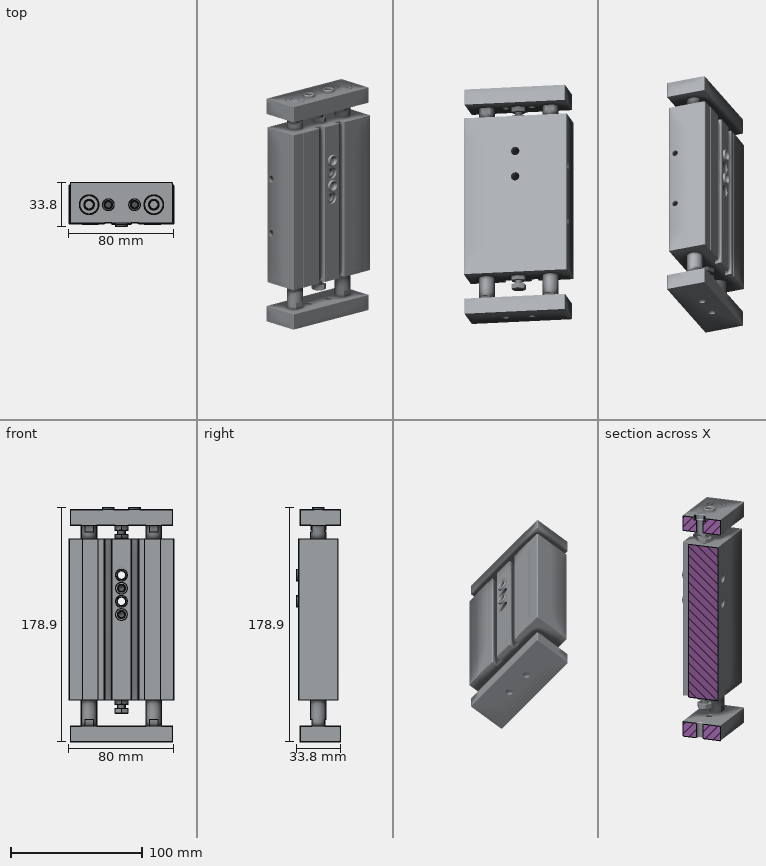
import cadquery as cq
import math


PLATE_WIDTH = 78.0
PLATE_DEPTH = 31.0
PLATE_THICKNESS = 12.0
PLATE_SHIFT_Y = 1.52
PLATE_EDGE_RADIUS = 0.7
ROD_DIAMETER = 12.0
ROD_X = 24.7
ROD_FLAT_WIDTH = 10.0
ROD_FLAT_HEIGHT = 5.0
RING_OUTER_DIAMETER = 15.0
RING_INNER_DIAMETER = 14.0
RING_DEPTH = 0.5
ROD_END_DIAMETER = 8.0
ROD_END_TIP_DIAMETER = 6.5
ROD_END_CHAMFER_HEIGHT = 0.7

HEX_SIDES = 6
HEX_WIDTH = 10.0
HEX_END_DIAMETER = 9.5
HEX_CHAMFER_ANGLE = 30
STUD_DIAMETER = 6.0
STUD_DEPTH = 10.7
NUT_HEIGHT = 3.4
HEAD_HEIGHT = 4.0
STUD_GAP = 2.9
SCREW_REACH = NUT_HEIGHT + STUD_GAP + HEAD_HEIGHT

LOWER_GAP = 19.8
HOUSING_HEIGHT = 123.0
HOUSING_WIDTH = 80.0
HOUSING_BACK_Y = 15.0
PAD_FRONT_Y = -15.0
PAD_RAISE = 0.27
BODY_FRONT_Y = PAD_FRONT_Y + PAD_RAISE
SIDE_PAD_INNER_X = 17.7
SIDE_PAD_OUTER_X = 29.7
HOUSING_EDGE_RADIUS = 0.9
SLOT_X = 10.2
SLOT_WIDTH = 5.0
SLOT_CAVITY_WIDTH = 6.0
SLOT_LIP = 2.1
SLOT_DEPTH = 5.0
SLOT_CHAMFER = 0.5
PORT_DIAMETER = 5.0
PORT_CORE_DIAMETER = 4.1
PORT_DEPTH = 5.4
PORT_Y = 10.0
PORT_OFFSET_Z = 21.6

SLEEVE_DIAMETER = 9.0
SLEEVE_BORE = 6.5
SLEEVE_PROTRUSION = 1.8
SEAT_DEPTH = 2.1
THREAD_DIAMETER = 6.0
THREAD_CORE_DIAMETER = 5.0
THREAD_DEPTH = 9.0
DRILL_POINT_ANGLE = 118
HOLE_PITCH = 10.0
TOP_HOLE_X = HOLE_PITCH
FIRST_HOLE_DROP = 27.7
FRONT_HOLE_COUNT = 4

HOUSING_BOTTOM_Z = PLATE_THICKNESS + LOWER_GAP
HOUSING_TOP_Z = HOUSING_BOTTOM_Z + HOUSING_HEIGHT
HOUSING_MIDDLE_Z = (HOUSING_BOTTOM_Z + HOUSING_TOP_Z) / 2
TOP_PLATE_Z = HOUSING_TOP_Z + SCREW_REACH
SLIDE_TOP_Z = TOP_PLATE_Z + PLATE_THICKNESS
FRONT_HOLES_Z = [HOUSING_TOP_Z - FIRST_HOLE_DROP - i * HOLE_PITCH for i in range(FRONT_HOLE_COUNT)]
SLEEVE_HOLES_Z = FRONT_HOLES_Z[0::2]
THREAD_HOLES_Z = FRONT_HOLES_Z[1::2]
FRONT = cq.Vector(0, -1, 0)
UP = cq.Vector(0, 0, 1)


def cylinder(diameter, length, start, direction):
    """A cylinder that begins at a point and runs along a direction."""
    return cq.Workplane(cq.Solid.makeCylinder(diameter / 2, length, start, direction))


def cone(start_diameter, end_diameter, length, start, direction):
    """A cone whose diameter changes from start to end along a direction."""
    return cq.Workplane(
        cq.Solid.makeCone(start_diameter / 2, end_diameter / 2, length, start, direction)
    )


def drilled_hole(diameter, depth, start, direction):
    """A blind hole with a conical drill point."""
    point_length = diameter / 2 / math.tan(math.radians(DRILL_POINT_ANGLE / 2))
    bore = cylinder(diameter, depth, start, direction)
    return bore.union(cone(diameter, 0, point_length, start + direction * depth, direction))


def countersink(wide_diameter, narrow_diameter, start, direction):
    """The 45 degree chamfer at the mouth of a hole."""
    depth = (wide_diameter - narrow_diameter) / 2
    return cone(wide_diameter, narrow_diameter, depth, start, direction)


def box_between(x0, x1, y0, y1, z0, z1):
    """A box given by its limits along each axis."""
    return cq.Workplane().box(x1 - x0, y1 - y0, z1 - z0, centered=False).translate((x0, y0, z0))


def plate(bottom_z):
    """A plate with rounded upright edges and two threaded through holes."""
    body = (
        cq.Workplane()
        .box(PLATE_WIDTH, PLATE_DEPTH, PLATE_THICKNESS, centered=(True, True, False))
        .edges("|Z")
        .fillet(PLATE_EDGE_RADIUS)
        .translate((0, PLATE_SHIFT_Y, bottom_z))
    )
    top_z = bottom_z + PLATE_THICKNESS
    for x in (-TOP_HOLE_X, TOP_HOLE_X):
        body = body.cut(cylinder(THREAD_CORE_DIAMETER, PLATE_THICKNESS, cq.Vector(x, 0, bottom_z), UP))
        body = body.cut(
            countersink(THREAD_DIAMETER, THREAD_CORE_DIAMETER, cq.Vector(x, 0, top_z), -UP)
        )
    return body


def rod(x):
    """A rod between the plates, with a pair of wrench flats at each end."""
    length = TOP_PLATE_Z - PLATE_THICKNESS
    body = cylinder(ROD_DIAMETER, length, cq.Vector(x, 0, PLATE_THICKNESS), UP)
    for flat_z in (PLATE_THICKNESS, TOP_PLATE_Z - ROD_FLAT_HEIGHT):
        end = cylinder(ROD_DIAMETER, ROD_FLAT_HEIGHT, cq.Vector(x, 0, flat_z), UP)
        half_flat = ROD_FLAT_WIDTH / 2
        kept = box_between(
            x - ROD_DIAMETER, x + ROD_DIAMETER, -half_flat, half_flat, flat_z, flat_z + ROD_FLAT_HEIGHT
        )
        body = body.cut(end.cut(kept))
    return body


def rod_end_grooves(x):
    """The grooves in the top plate above a rod: a narrow ring and a rod end with a chamfered rim."""
    top = cq.Vector(x, 0, SLIDE_TOP_Z)
    ring = cylinder(RING_OUTER_DIAMETER, RING_DEPTH, top, -UP)
    ring = ring.cut(cylinder(RING_INNER_DIAMETER, RING_DEPTH, top, -UP))
    rim = cylinder(ROD_END_DIAMETER, ROD_END_CHAMFER_HEIGHT, top, -UP)
    rim = rim.cut(cone(ROD_END_TIP_DIAMETER, ROD_END_DIAMETER, ROD_END_CHAMFER_HEIGHT, top, -UP))
    return ring.union(rim)


def make_slide():
    """Both plates and both rods as one body, with sleeve seats in the top plate."""
    top_plate = plate(TOP_PLATE_Z)
    for x in (-TOP_HOLE_X, TOP_HOLE_X):
        seat = cylinder(SLEEVE_DIAMETER, SEAT_DEPTH, cq.Vector(x, 0, SLIDE_TOP_Z), -UP)
        seat_floor = cq.Vector(x, 0, SLIDE_TOP_Z - SEAT_DEPTH)
        top_plate = top_plate.cut(seat)
        top_plate = top_plate.cut(
            countersink(THREAD_DIAMETER, THREAD_CORE_DIAMETER, seat_floor, -UP)
        )
    body = plate(0).union(top_plate)
    for x in (-ROD_X, ROD_X):
        body = body.union(rod(x)).cut(rod_end_grooves(x))
    return body


def housing_blank():
    """The extruded body with rounded upright edges."""
    half_width = HOUSING_WIDTH / 2
    body = box_between(
        -half_width, half_width, BODY_FRONT_Y, HOUSING_BACK_Y, HOUSING_BOTTOM_Z, HOUSING_TOP_Z
    )
    return body.edges("|Z").fillet(HOUSING_EDGE_RADIUS)


def front_pads():
    """The raised strips on the front: one in the middle and one on each side."""
    strips = [
        (-SIDE_PAD_OUTER_X, -SIDE_PAD_INNER_X),
        (-SLOT_X, SLOT_X),
        (SIDE_PAD_INNER_X, SIDE_PAD_OUTER_X),
    ]
    pads = cq.Workplane()
    for x0, x1 in strips:
        pads = pads.add(
            box_between(x0, x1, PAD_FRONT_Y, BODY_FRONT_Y, HOUSING_BOTTOM_Z, HOUSING_TOP_Z)
        )
    return pads.combine()


def slot(x):
    """A T-slot along the whole front, with a chamfered mouth."""
    mouth = SLOT_WIDTH / 2
    cavity = SLOT_CAVITY_WIDTH / 2
    wide_mouth = mouth + SLOT_CHAMFER
    right_side = [
        (wide_mouth, PAD_FRONT_Y),
        (wide_mouth, BODY_FRONT_Y),
        (mouth, BODY_FRONT_Y + SLOT_CHAMFER),
        (mouth, BODY_FRONT_Y + SLOT_LIP),
        (cavity, BODY_FRONT_Y + SLOT_LIP),
        (cavity, BODY_FRONT_Y + SLOT_DEPTH),
    ]
    left_side = [(-px, py) for px, py in reversed(right_side)]
    outline = cq.Workplane("XY", origin=(x, 0, HOUSING_BOTTOM_Z)).polyline(right_side + left_side)
    return outline.close().extrude(HOUSING_HEIGHT)


def front_hole(z, threaded):
    """A sleeve seat with either a blind threaded hole or a through hole behind it."""
    face = cq.Vector(0, PAD_FRONT_Y, z)
    floor = face - FRONT * SEAT_DEPTH
    seat = cylinder(SLEEVE_DIAMETER, SEAT_DEPTH, face, -FRONT)
    if threaded:
        thread = drilled_hole(THREAD_CORE_DIAMETER, THREAD_DEPTH, floor, -FRONT)
        mouth = countersink(THREAD_DIAMETER, THREAD_CORE_DIAMETER, floor, -FRONT)
        return seat.union(thread).union(mouth)
    return seat.union(cylinder(SLEEVE_BORE, HOUSING_BACK_Y - PAD_FRONT_Y, face, -FRONT))


def side_port(z):
    """A blind port in the -X side."""
    face = cq.Vector(-HOUSING_WIDTH / 2, PORT_Y, z)
    inward = cq.Vector(1, 0, 0)
    core = drilled_hole(PORT_CORE_DIAMETER, PORT_DEPTH, face, inward)
    return core.union(countersink(PORT_DIAMETER, PORT_CORE_DIAMETER, face, inward))


def make_housing():
    """The grooved block with bores for the rods and holes for the stop screws."""
    body = housing_blank().union(front_pads())
    for x in (-SLOT_X, SLOT_X):
        body = body.cut(slot(x))
    for x in (-ROD_X, ROD_X):
        body = body.cut(cylinder(ROD_DIAMETER, HOUSING_HEIGHT, cq.Vector(x, 0, HOUSING_BOTTOM_Z), UP))
    for z in SLEEVE_HOLES_Z:
        body = body.cut(front_hole(z, threaded=False))
    for z in THREAD_HOLES_Z:
        body = body.cut(front_hole(z, threaded=True))
    for z in (HOUSING_MIDDLE_Z - PORT_OFFSET_Z, HOUSING_MIDDLE_Z + PORT_OFFSET_Z):
        body = body.cut(side_port(z))
    for face_z, outward in ((HOUSING_TOP_Z, UP), (HOUSING_BOTTOM_Z, -UP)):
        body = body.cut(cylinder(STUD_DIAMETER, STUD_DEPTH, cq.Vector(0, 0, face_z), -outward))
    return body


def hexagon(bottom_z, height):
    """A hexagon with corners along Y, chamfered round its lower end."""
    across_corners = HEX_WIDTH / math.cos(math.pi / HEX_SIDES)
    blank = (
        cq.Workplane("XY", origin=(0, 0, bottom_z))
        .polygon(HEX_SIDES, across_corners)
        .extrude(height)
        .rotate((0, 0, 0), (0, 0, 1), 90)
    )
    slope = math.tan(math.radians(HEX_CHAMFER_ANGLE))
    wide_diameter = HEX_END_DIAMETER + 2 * height / slope
    return blank.intersect(
        cone(HEX_END_DIAMETER, wide_diameter, height, cq.Vector(0, 0, bottom_z), UP)
    )


def stop_screw(face_z, outward):
    """A hexagon-headed screw that stands out of one end of the housing."""
    head_inner_z = face_z + outward.z * (SCREW_REACH - HEAD_HEIGHT)
    head_outer_z = face_z + outward.z * SCREW_REACH
    head = hexagon(min(head_inner_z, head_outer_z), HEAD_HEIGHT)
    stud_length = STUD_DEPTH + NUT_HEIGHT + STUD_GAP
    stud_start = cq.Vector(0, 0, face_z) - outward * STUD_DEPTH
    return head.union(cylinder(STUD_DIAMETER, stud_length, stud_start, outward))


def lock_nut(face_z, outward):
    """A nut round a stop screw, resting on the end of the housing."""
    nut = hexagon(min(face_z, face_z + outward.z * NUT_HEIGHT), NUT_HEIGHT)
    return nut.cut(cylinder(STUD_DIAMETER, NUT_HEIGHT, cq.Vector(0, 0, face_z), outward))


def centring_sleeve(face_point, outward):
    """A ring seated in a recess, with a fully rounded outer rim."""
    inner = SLEEVE_BORE / 2
    outer = SLEEVE_DIAMETER / 2
    rim_radius = (outer - inner) / 2
    shoulder = SEAT_DEPTH + SLEEVE_PROTRUSION - rim_radius
    section_plane = cq.Plane(
        origin=face_point - outward * SEAT_DEPTH, xDir=(1, 0, 0), normal=cq.Vector(1, 0, 0).cross(outward)
    )
    return (
        cq.Workplane(section_plane)
        .moveTo(inner, 0)
        .lineTo(outer, 0)
        .lineTo(outer, shoulder)
        .threePointArc((inner + rim_radius, shoulder + rim_radius), (inner, shoulder))
        .close()
        .revolve(360, (0, 0, 0), (0, 1, 0))
    )


slide = make_slide()
housing = make_housing()
housing_ends = [(HOUSING_TOP_Z, UP), (HOUSING_BOTTOM_Z, -UP)]
stop_screws = [stop_screw(face_z, outward).val() for face_z, outward in housing_ends]
lock_nuts = [lock_nut(face_z, outward).val() for face_z, outward in housing_ends]
top_sleeves = [
    centring_sleeve(cq.Vector(x, 0, SLIDE_TOP_Z), UP).val() for x in (-TOP_HOLE_X, TOP_HOLE_X)
]
front_sleeves = [centring_sleeve(cq.Vector(0, PAD_FRONT_Y, z), FRONT).val() for z in SLEEVE_HOLES_Z]

result = cq.Compound.makeCompound(
    [slide.val(), housing.val(), *stop_screws, *lock_nuts, *top_sleeves, *front_sleeves]
)